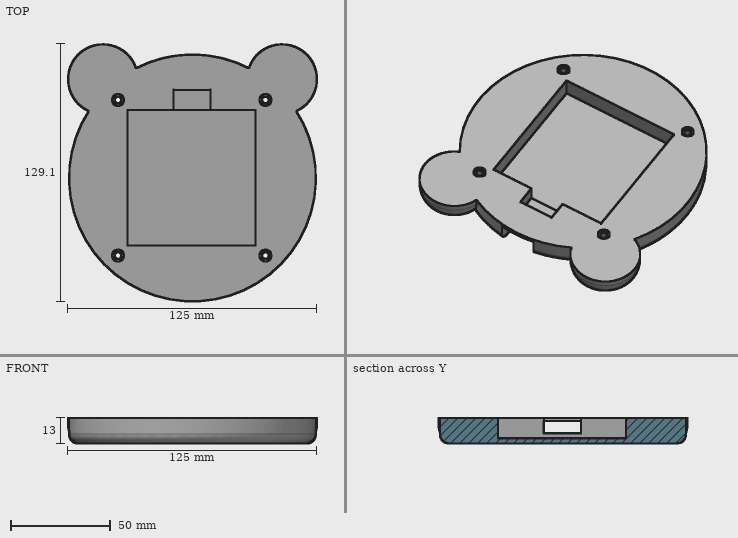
import cadquery as cq

thickness = 13.0
total_length = 129.1
total_width = 125.0
head_radius = 62.0
head_edge_fillet = 4.9
ear_radius = 17.5
ear_round_height = 9.7
ear_round_width = 7.7
ear_x = total_width / 2 - ear_radius
ear_y = total_length - head_radius - ear_radius

pocket_width = 64.0
pocket_length = 67.8
pocket_depth = 10.2
pocket_x = -0.5
pocket_y = 0.1
pocket_back_y = pocket_y + pocket_length / 2

notch_width = 18.6
notch_length = 10.2
notch_depth = 7.7
notch_x = -0.3
notch_back_y = pocket_back_y + notch_length
channel_roof = 1.7

screw_diameter = 3.4
counterbore_diameter = 6.0
counterbore_depth = 0.9
screw_pitch_x = 74.0
screw_pitch_y = 78.1
screw_center = (-0.4, 0.1)


def rounded_disc(x, y, radius, round_width, round_height):
    """Disc of full thickness whose bottom edge is a quarter-ellipse rounding."""
    profile = (
        cq.Workplane("XZ")
        .lineTo(radius - round_width, 0)
        .ellipseArc(round_width, round_height, 270, 360)
        .lineTo(radius, thickness)
        .lineTo(0, thickness)
        .close()
    )
    return profile.revolve(360, (0, 0, 0), (0, 1, 0)).translate((x, y, 0))


def recess(x, front_y, width, length, bottom_z, top_z):
    """Rectangular block to cut, centred on x and running back from front_y."""
    return (
        cq.Workplane("XY", origin=(x, front_y, bottom_z))
        .box(width, length, top_z - bottom_z, centered=(True, False, False))
    )


body = rounded_disc(0, 0, head_radius, head_edge_fillet, head_edge_fillet)
for side in (-1, 1):
    ear = rounded_disc(side * ear_x, ear_y, ear_radius, ear_round_width, ear_round_height)
    body = body.union(ear)

pocket_front_y = pocket_back_y - pocket_length
body = body.cut(
    recess(pocket_x, pocket_front_y, pocket_width, pocket_length, thickness - pocket_depth, thickness)
)
body = body.cut(
    recess(notch_x, pocket_back_y, notch_width, notch_length, thickness - notch_depth, thickness)
)

channel_length = head_radius - notch_back_y
body = body.cut(
    recess(notch_x, notch_back_y, notch_width, channel_length, 0, thickness - channel_roof)
)

result = (
    body.faces(">Z")
    .workplane(origin=(*screw_center, thickness))
    .rarray(screw_pitch_x, screw_pitch_y, 2, 2)
    .cboreHole(screw_diameter, counterbore_diameter, counterbore_depth)
)